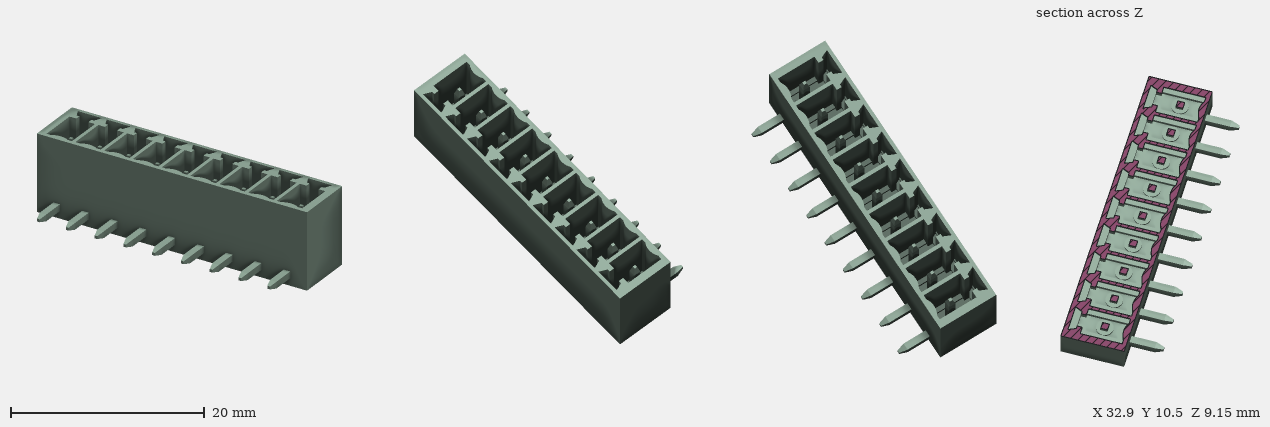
import cadquery as cq


length = 32.9
depth = 6.85
height = 9.15
pole_count = 9
end_margin = 2.45
pitch = (length - 2 * end_margin) / (pole_count - 1)

pocket_width = 3.1
front_wall = 0.5
pocket_back = 4.95
pocket_floor = 2.5
ledge_rise = 0.33
channel_width = 2.07
bulge_height = 0.3

neck_width = 1.48
dovetail_front = 5.55
dovetail_front_width = 2.15
dovetail_back_width = 2.93
back_wall = 0.4
dovetail_floor = 2.83
sill_depth = 0.13
sill_rise = 0.33

pin_size = 0.8
pin_tip_size = 0.33
pin_taper = 0.9
pin_y = 2.75
pin_top = 8.05
tail_z = 1.28
tail_length = 3.6
collar_diameter = 1.8
collar_height = 0.15


def block(width, y_min, y_max, z_min, z_max):
    """Box centred on X = 0 between the given Y and Z limits."""
    box = cq.Workplane("XY").box(width, y_max - y_min, z_max - z_min, centered=(True, False, False))
    return box.translate((0, y_min, z_min))


def pocket_cavity():
    """Rectangular pocket with side ledges at the bottom and an arched pad on the front wall."""
    ledge_top = pocket_floor + ledge_rise
    upper = block(pocket_width, front_wall, pocket_back, ledge_top, height)
    channel = block(channel_width, front_wall, pocket_back, pocket_floor, ledge_top)
    pad = (
        cq.Workplane("XY", origin=(0, 0, pocket_floor))
        .moveTo(-channel_width / 2, front_wall)
        .threePointArc((0, front_wall + bulge_height), (channel_width / 2, front_wall))
        .close()
        .extrude(height - pocket_floor)
    )
    return upper.union(channel).cut(pad)


def keying_slot():
    """Neck and dovetail, with a low sill along the foot of the back wall."""
    dovetail_back = depth - back_wall
    neck = block(neck_width, pocket_back, dovetail_front, pocket_floor, height)
    dovetail = (
        cq.Workplane("XY", origin=(0, 0, dovetail_floor))
        .moveTo(-dovetail_front_width / 2, dovetail_front)
        .lineTo(dovetail_front_width / 2, dovetail_front)
        .lineTo(dovetail_back_width / 2, dovetail_back)
        .lineTo(-dovetail_back_width / 2, dovetail_back)
        .close()
        .extrude(height - dovetail_floor)
    )
    sill = block(
        dovetail_back_width,
        dovetail_back - sill_depth,
        dovetail_back,
        dovetail_floor,
        dovetail_floor + sill_rise,
    )
    return neck.union(dovetail.cut(sill))


def tapered_bar(bar_length):
    """Square bar along +Z from the origin, ending in a blunt pyramid point."""
    shank_length = bar_length - pin_taper
    shank = cq.Workplane("XY").rect(pin_size, pin_size).extrude(shank_length)
    point = (
        cq.Workplane("XY", origin=(0, 0, shank_length))
        .rect(pin_size, pin_size)
        .workplane(offset=pin_taper)
        .rect(pin_tip_size, pin_tip_size)
        .loft(ruled=True)
    )
    return shank.union(point)


def pin():
    """Contact pin: vertical post with a round collar, and a solder tail out of the front face."""
    post_base = tail_z - pin_size / 2
    post = tapered_bar(pin_top - post_base).translate((0, pin_y, post_base))
    tail = tapered_bar(pin_y + tail_length).rotate((0, 0, 0), (1, 0, 0), 90).translate((0, pin_y, tail_z))
    collar = (
        cq.Workplane("XY", origin=(0, pin_y, pocket_floor))
        .circle(collar_diameter / 2)
        .extrude(collar_height)
    )
    return post.union(tail).union(collar)


cavity = pocket_cavity().union(keying_slot())
contact = pin()

result = block(length, 0, depth, 0, height)
for index in range(pole_count):
    pole_x = (index - (pole_count - 1) / 2) * pitch
    result = result.cut(cavity.translate((pole_x, 0, 0)))
    result = result.union(contact.translate((pole_x, 0, 0)))